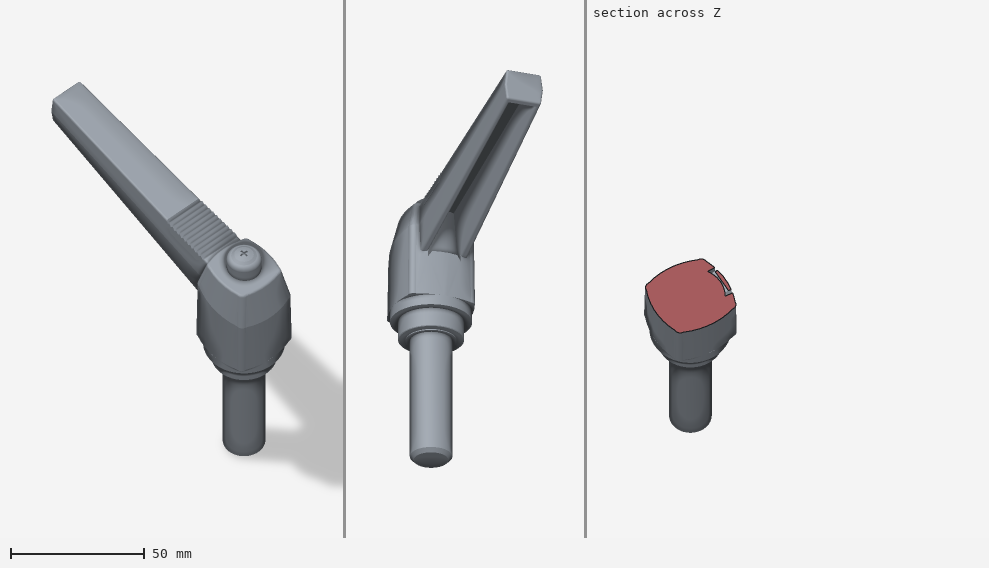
import cadquery as cq
import math


STUD_D = 16.0
STUD_LENGTH = 50.0
STUD_CHAMFER = 1.5
SPIGOT_D = 19.2
SPIGOT_HEIGHT = 0.35
BUSH_D = 24.8
BUSH_CHAMFER = 0.25
FLANGE_D = 30.73
FLANGE_BOTTOM = 7.5
FLANGE_TOP = 11.6

HUB_BASE = (15.3, 11.0, 13.3)
HUB_WAIST = (15.05, 10.65, 12.95)
HUB_CROWN = (11.5, 8.0, 10.4)
WAIST_Z = 38.0
WAIST_SLOPE = 0.199
CROWN_Z = 50.65
CROWN_SLOPE = 0.08
CROWN_FILLET = 1.0

TOTAL_LENGTH = 115.72
TOTAL_HEIGHT = 115.32
TIP_X = FLANGE_D / 2 - TOTAL_LENGTH
ROOT_X = -14.1
ARM_END_X = -7.0
TIP_ROUNDING_DROP = 0.15
TIP_TOP_Z = TOTAL_HEIGHT - STUD_LENGTH + TIP_ROUNDING_DROP
ROOT_TOP_Z = 50.5
TIP_CREASE_Z = 59.3
ROOT_CREASE_Z = 40.9
TIP_BOTTOM_Z = 53.2
ROOT_BOTTOM_Z = 29.5
TIP_TOP_HALF = 6.8
ROOT_TOP_HALF = 8.5
TIP_CREASE_HALF = 7.65
ROOT_CREASE_HALF = 9.6
TIP_BOTTOM_HALF = 6.8
ROOT_BOTTOM_HALF = 9.2
ARM_FILLET = 0.8

TIP_WALL = 2.0
ROOF_THICKNESS = 2.0
MOUTH_FILLET = 0.7
TIP_ROOF_HALF = 4.2
ROOT_ROOF_HALF = 4.5
TIP_MOUTH_HALF = 5.2
ROOT_MOUTH_HALF = 6.5
CHANNEL_BACK_R = 13.0
CORNER_NOTCH_WIDTH = 1.5
CORNER_NOTCH_DEPTH = 2.2

GRIP_START_X = -34.4
GRIP_PITCH = 2.0
GRIP_TEETH = 10
GRIP_LEAD_IN = 0.7
GRIP_FIRST_VALLEY_X = GRIP_START_X + GRIP_LEAD_IN
GRIP_END_X = GRIP_FIRST_VALLEY_X + GRIP_TEETH * GRIP_PITCH
GRIP_DEPTH = 1.15
GRIP_SLOPE = 0.146
TOOTH_HEIGHT = 0.95
GRIP_PROUD = 0.15
GRIP_HEADROOM = 1.0
RELIEF_RAMP = 2.6
GRIP_BLANK_HALF = 12.0
GRIP_LOWER_LEFT = (-31.5, 49.4)
GRIP_LOWER_RIGHT = (-16.6, 47.2)

BUTTON_D = 13.0
BUTTON_SHOULDER_D = 9.6
BUTTON_DOME_D = 7.3
BUTTON_WALL_TOP = 54.8
BUTTON_SHOULDER_Z = 57.2
BUTTON_DOME_Z = 57.9
BUTTON_TOP = 58.6
BUTTON_BOTTOM = 45.0
CROSS_LENGTH = 3.5
CROSS_WIDTH = 0.8
CROSS_DEPTH = 1.0


def disc(diameter, bottom, top):
    return cq.Workplane("XY").workplane(offset=bottom).circle(diameter / 2).extrude(top - bottom)


def make_stud():
    stud = disc(STUD_D, -STUD_LENGTH, FLANGE_BOTTOM).faces("<Z").chamfer(STUD_CHAMFER)
    spigot = disc(SPIGOT_D, -SPIGOT_HEIGHT, FLANGE_BOTTOM)
    bush = disc(BUSH_D, 0, FLANGE_BOTTOM).faces("<Z").chamfer(BUSH_CHAMFER)
    flange = disc(FLANGE_D, FLANGE_BOTTOM, FLANGE_TOP)
    return stud.union(spigot).union(bush).union(flange)


def hub_section(sizes, height, slope):
    """Closed bowed-square wire in a plane that falls by `slope` along +X."""
    mid, side, end = sizes
    corner = side + (end - side) * math.sqrt(0.5)

    def point(x, y, turn):
        for _ in range(turn):
            x, y = -y, x
        return cq.Vector(x, y, height - slope * x)

    edges = []
    for turn in range(4):
        side_end = point(end, side, turn)
        edges.append(cq.Edge.makeThreePointArc(point(end, -side, turn), point(mid, 0, turn), side_end))
        corner_end = point(side, end, turn)
        edges.append(cq.Edge.makeThreePointArc(side_end, point(corner, corner, turn), corner_end))
    return cq.Wire.assembleEdges(edges)


def make_hub():
    base = hub_section(HUB_BASE, FLANGE_TOP, 0)
    waist = hub_section(HUB_WAIST, WAIST_Z, WAIST_SLOPE)
    crown = hub_section(HUB_CROWN, CROWN_Z, CROWN_SLOPE)
    lower = cq.Workplane(cq.Solid.makeLoft([base, waist], True))
    upper = cq.Workplane(cq.Solid.makeLoft([waist, crown], True)).faces(">Z").edges().fillet(CROWN_FILLET)
    return lower.union(upper)


def along_arm(tip_value, root_value, x):
    """Value at x on the straight line from the arm's tip to its root."""
    return tip_value + (root_value - tip_value) * (x - TIP_X) / (ROOT_X - TIP_X)


def top_z(x):
    return along_arm(TIP_TOP_Z, ROOT_TOP_Z, x)


def bottom_z(x):
    return along_arm(TIP_BOTTOM_Z, ROOT_BOTTOM_Z, x)


def mirrored_wire(x, right_side):
    """Closed polygon at x, symmetric about y = 0, from its (y, z) points on the +Y side."""
    left_side = [(-y, z) for y, z in reversed(right_side)]
    return cq.Wire.makePolygon([cq.Vector(x, y, z) for y, z in right_side + left_side], close=True)


def arm_section(x):
    top = (along_arm(TIP_TOP_HALF, ROOT_TOP_HALF, x), top_z(x))
    crease = (along_arm(TIP_CREASE_HALF, ROOT_CREASE_HALF, x), along_arm(TIP_CREASE_Z, ROOT_CREASE_Z, x))
    bottom = (along_arm(TIP_BOTTOM_HALF, ROOT_BOTTOM_HALF, x), bottom_z(x))
    return mirrored_wire(x, [top, crease, bottom])


def channel_section(x):
    roof = (along_arm(TIP_ROOF_HALF, ROOT_ROOF_HALF, x), top_z(x) - ROOF_THICKNESS)
    mouth_half = along_arm(TIP_MOUTH_HALF, ROOT_MOUTH_HALF, x)
    mouth = (mouth_half, bottom_z(x))
    notch_tip = (mouth_half, bottom_z(x) - CORNER_NOTCH_DEPTH)
    notch_end = (mouth_half - CORNER_NOTCH_WIDTH, bottom_z(x))
    return mirrored_wire(x, [roof, mouth, notch_tip, notch_end])


def make_arm():
    arm = cq.Workplane(cq.Solid.makeLoft([arm_section(TIP_X), arm_section(ARM_END_X)], True))
    tip_edges = arm.faces("<X").edges().vals()
    root_edges = arm.faces(">X").edges().vals()
    crease_z = along_arm(TIP_CREASE_Z, ROOT_CREASE_Z, (TIP_X + ARM_END_X) / 2)
    ends = tip_edges + root_edges
    long_edges = [e for e in arm.edges().vals() if not any(e.isSame(end) for end in ends)]
    rounded = [e for e in long_edges if abs(e.Center().z - crease_z) > ARM_FILLET]
    return arm.newObject(tip_edges + rounded).fillet(ARM_FILLET)


def make_channel():
    start = channel_section(TIP_X + TIP_WALL)
    end = channel_section(ARM_END_X)
    cutter = cq.Workplane(cq.Solid.makeLoft([start, end], True))
    return cutter.cut(disc(2 * CHANNEL_BACK_R, 0, TIP_TOP_Z))


def round_mouth(hollow_arm):
    """Round the two long edges of the channel's mouth."""
    middle_x = (TIP_X + ROOT_X) / 2
    mouth_half = along_arm(TIP_MOUTH_HALF, ROOT_MOUTH_HALF, middle_x)
    edges = []
    for y in (-mouth_half, mouth_half):
        selector = cq.NearestToPointSelector((middle_x, y, bottom_z(middle_x)))
        edges += hollow_arm.edges(selector).vals()
    return hollow_arm.newObject(edges).fillet(MOUTH_FILLET)


def grip_z(x):
    """Height of the line through the valleys between the teeth."""
    return top_z(GRIP_START_X) - GRIP_DEPTH - GRIP_SLOPE * (x - GRIP_START_X)


def grip_section(x):
    """Arm flanks at x, pushed out a little and carried up past the top of the arm."""
    crease_half = along_arm(TIP_CREASE_HALF, ROOT_CREASE_HALF, x)
    top_half = along_arm(TIP_TOP_HALF, ROOT_TOP_HALF, x)
    crease_z = along_arm(TIP_CREASE_Z, ROOT_CREASE_Z, x)
    lean = (crease_half - top_half) / (top_z(x) - crease_z)
    top = (top_half + GRIP_PROUD - lean * GRIP_HEADROOM, top_z(x) + GRIP_HEADROOM)
    return mirrored_wire(x, [top, (crease_half + GRIP_PROUD, crease_z)])


def make_grip():
    """Pad across the arm whose top is a row of saw teeth."""
    outline = [GRIP_LOWER_RIGHT, GRIP_LOWER_LEFT]
    for tooth in range(GRIP_TEETH):
        valley_x = GRIP_FIRST_VALLEY_X + tooth * GRIP_PITCH
        peak_x = valley_x + GRIP_PITCH / 2
        outline.append((valley_x, grip_z(valley_x)))
        outline.append((peak_x, grip_z(peak_x) + TOOTH_HEIGHT))
    outline.append((GRIP_END_X, grip_z(GRIP_END_X)))
    teeth = cq.Workplane("XZ").polyline(outline).close().extrude(GRIP_BLANK_HALF, both=True)
    flanks = cq.Solid.makeLoft([grip_section(GRIP_START_X), grip_section(ARM_END_X)], True)
    return teeth.intersect(cq.Workplane(flanks))


def make_grip_relief():
    """Shallow notch in the top of the arm that makes room for the teeth."""
    outline = [
        (GRIP_START_X, top_z(GRIP_START_X)),
        (GRIP_FIRST_VALLEY_X, grip_z(GRIP_FIRST_VALLEY_X)),
        (GRIP_END_X, grip_z(GRIP_END_X)),
        (GRIP_END_X + RELIEF_RAMP, top_z(GRIP_END_X) + GRIP_HEADROOM),
        (GRIP_START_X, top_z(GRIP_START_X) + GRIP_HEADROOM),
    ]
    return cq.Workplane("XZ").polyline(outline).close().extrude(GRIP_BLANK_HALF, both=True)


def make_button():
    wall_r = BUTTON_D / 2
    shoulder_r = BUTTON_SHOULDER_D / 2
    dome_r = BUTTON_DOME_D / 2
    rise = BUTTON_SHOULDER_Z - BUTTON_WALL_TOP
    inset = wall_r - shoulder_r
    bulge = (wall_r - inset * (1 - math.sqrt(0.5)), BUTTON_WALL_TOP + rise * math.sqrt(0.5))
    dome_rise = BUTTON_TOP - BUTTON_DOME_Z
    dome_middle = (dome_r / 2, BUTTON_TOP - dome_rise / 4)
    profile = (
        cq.Workplane("XZ")
        .moveTo(0, BUTTON_BOTTOM)
        .lineTo(wall_r, BUTTON_BOTTOM)
        .lineTo(wall_r, BUTTON_WALL_TOP)
        .threePointArc(bulge, (shoulder_r, BUTTON_SHOULDER_Z))
        .lineTo(dome_r, BUTTON_DOME_Z)
        .threePointArc(dome_middle, (0, BUTTON_TOP))
        .close()
    )
    button = profile.revolve(360, (0, 0, 0), (0, 1, 0))
    slot = cq.Workplane("XY").workplane(offset=BUTTON_TOP - CROSS_DEPTH)
    for length, width in ((CROSS_LENGTH, CROSS_WIDTH), (CROSS_WIDTH, CROSS_LENGTH)):
        button = button.cut(slot.rect(length, width).extrude(CROSS_DEPTH))
    return button


arm = make_arm().cut(make_grip_relief()).union(make_grip())
channel = make_channel()
body = make_hub().cut(channel).union(round_mouth(arm.cut(channel)))
result = make_stud().union(body).union(make_button())